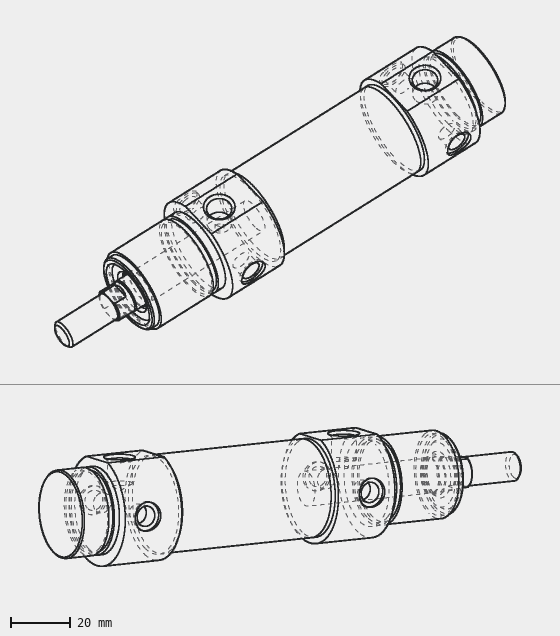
import cadquery as cq
import math


total_length = 178
nose_face = 149.9
barrel_start = 38.0
barrel_end = 96.1

head_radius = 18.95
head_length = 22.0
head_flat_height = 17.53
shoulder_length = 1.6
thread_diameter = 30.0
undercut_diameter = 28.0
undercut_length = 2.1
rear_thread_chamfer = 0.5
rear_undercut_gap = 2.0
front_undercut_gap = 3.0

nose_diameter = 28.0
nose_length = 2.7
nose_chamfer = 0.5
recess_mouth_diameter = 23.9
recess_floor_diameter = 22.0
recess_depth = 1.8
rod_clearance_mouth_diameter = 15.8
rod_clearance_step_diameter = 14.2
rod_clearance_diameter = 12.8
rod_clearance_taper_depth = 1.5
rod_clearance_depth = 3.5

port_to_outer_face = 8.9
port_diameter = 8.5
port_mouth_diameter = 10.7
port_depth = 8.9
drill_point_angle = 118
air_passage_diameter = 3.0
trunnion_diameter = 7.0
trunnion_counterbore_diameter = 10.0
trunnion_counterbore_depth = 1.5
trunnion_depth = 7.1

barrel_diameter = 33.6
rod_diameter = 12.0
rod_neck_diameter = 11.5
rod_neck_start = 151.3
rod_neck_taper = 0.5
rod_neck_chamfer = 0.4
rod_thread_diameter = 10.0
rod_thread_start = 158.0
rod_thread_chamfer = 0.9
wrench_flat_start = 152.5
wrench_flat_run_out = 0.5
wrench_flat_width = 9.8

rear_head_end = barrel_start - shoulder_length
rear_head_start = rear_head_end - head_length
front_head_start = barrel_end + shoulder_length
front_head_end = front_head_start + head_length
rear_port_station = rear_head_start + port_to_outer_face
front_port_station = front_head_end - port_to_outer_face


def turned(points):
    """Revolve a closed outline of (radius, station) points about the Y axis."""
    outline = [(radius, -station) for radius, station in points]
    return cq.Workplane("XY").polyline(outline).close().revolve(360, (0, 0), (0, 1))


def disc(diameter, start, end):
    """Cylinder on the Y axis between two stations."""
    radius = diameter / 2
    return turned([(0, start), (radius, start), (radius, end), (0, end)])


def flatted_block(start, end):
    """Large round block of a head, with the port flat on top."""
    block = disc(2 * head_radius, start, end)
    above_flat = cq.Workplane("XY").box(
        2 * head_radius, 2 * total_length, head_radius, centered=(True, True, False)
    )
    return block.cut(above_flat.translate((0, 0, head_flat_height)))


def port(station):
    """Flat-bottomed port in the top flat, with a 45 degree chamfer at its mouth."""
    radius = port_diameter / 2
    mouth_radius = port_mouth_diameter / 2
    outline = [
        (0, 0),
        (mouth_radius, 0),
        (radius, radius - mouth_radius),
        (radius, -port_depth),
        (0, -port_depth),
    ]
    hole = cq.Workplane("XZ").polyline(outline).close().revolve(360, (0, 0), (0, 1))
    return hole.translate((0, -station, head_flat_height))


def drill_point(station):
    """Conical end below a port."""
    radius = port_diameter / 2
    height = radius / math.tan(math.radians(drill_point_angle / 2))
    outline = [(0, 0), (radius, 0), (0, -height)]
    cone = cq.Workplane("XZ").polyline(outline).close().revolve(360, (0, 0), (0, 1))
    return cone.translate((0, -station, head_flat_height - port_depth))


def air_passage(station):
    """Small passage from the front port floor to the rod bore."""
    floor = head_flat_height - port_depth
    passage = cq.Workplane("XY").circle(air_passage_diameter / 2).extrude(floor)
    return passage.translate((0, -station, 0))


def trunnion_hole(station, side):
    """Counterbored hole along X; side is +1 or -1."""
    opening = cq.Workplane("YZ", origin=(side * head_radius, -station, 0))
    counterbore = opening.circle(trunnion_counterbore_diameter / 2)
    counterbore = counterbore.extrude(-side * trunnion_counterbore_depth)
    bore = opening.circle(trunnion_diameter / 2).extrude(-side * trunnion_depth)
    return counterbore.union(bore)


def build_rear_head():
    thread_radius = thread_diameter / 2
    undercut_end = rear_head_start - rear_undercut_gap
    head = flatted_block(rear_head_start, rear_head_end)
    head = head.union(disc(barrel_diameter, rear_head_end, barrel_start))
    threaded_end = turned([
        (0, 0),
        (thread_radius - rear_thread_chamfer, 0),
        (thread_radius, rear_thread_chamfer),
        (thread_radius, rear_head_start),
        (0, rear_head_start),
    ])
    undercut = disc(thread_diameter, undercut_end - undercut_length, undercut_end)
    undercut = undercut.cut(disc(undercut_diameter, undercut_end - undercut_length, undercut_end))
    head = head.union(threaded_end).cut(undercut)
    head = head.cut(port(rear_port_station)).cut(drill_point(rear_port_station))
    for side in (1, -1):
        head = head.cut(trunnion_hole(rear_port_station, side))
    return head


def front_recess():
    """Tapered recess in the nose, with a stepped funnel around the rod in its floor."""
    floor = nose_face - recess_depth
    funnel_end = floor - rod_clearance_taper_depth
    clearance_end = floor - rod_clearance_depth
    return turned([
        (0, nose_face),
        (recess_mouth_diameter / 2, nose_face),
        (recess_floor_diameter / 2, floor),
        (rod_clearance_mouth_diameter / 2, floor),
        (rod_clearance_step_diameter / 2, funnel_end),
        (rod_clearance_diameter / 2, funnel_end),
        (rod_clearance_diameter / 2, clearance_end),
        (0, clearance_end),
    ])


def build_front_head():
    undercut_start = front_head_end + front_undercut_gap
    undercut_end = undercut_start + undercut_length
    thread_end = nose_face - nose_length
    head = flatted_block(front_head_start, front_head_end)
    head = head.union(disc(barrel_diameter, barrel_end, front_head_start))
    head = head.union(disc(thread_diameter, front_head_end, undercut_start))
    head = head.union(disc(undercut_diameter, undercut_start, undercut_end))
    head = head.union(disc(thread_diameter, undercut_end, thread_end))
    nose = disc(nose_diameter, thread_end, nose_face).faces("<Y").edges().chamfer(nose_chamfer)
    head = head.union(nose).cut(front_recess())
    head = head.cut(disc(rod_diameter, barrel_end, total_length))
    head = head.cut(port(front_port_station)).cut(air_passage(front_port_station))
    for side in (1, -1):
        head = head.cut(trunnion_hole(front_port_station, side))
    return head


def build_barrel():
    return disc(barrel_diameter, barrel_start, barrel_end)


def wrench_flat():
    """Material above the upper wrench flat, with a sloped run-out at its inner end."""
    flat_height = wrench_flat_width / 2
    neck_radius = rod_neck_diameter / 2
    outline = [
        (-wrench_flat_start, neck_radius),
        (-wrench_flat_start - wrench_flat_run_out, flat_height),
        (-rod_thread_start, flat_height),
        (-rod_thread_start, neck_radius),
    ]
    return cq.Workplane("YZ").polyline(outline).close().extrude(neck_radius, both=True)


def build_rod():
    rod_radius = rod_diameter / 2
    neck_radius = rod_neck_diameter / 2
    shank = turned([
        (0, barrel_end),
        (rod_radius, barrel_end),
        (rod_radius, rod_neck_start - rod_neck_taper),
        (neck_radius, rod_neck_start),
        (neck_radius, rod_thread_start - rod_neck_chamfer),
        (neck_radius - rod_neck_chamfer, rod_thread_start),
        (0, rod_thread_start),
    ])
    shank = shank.cut(wrench_flat()).cut(wrench_flat().mirror("XY"))
    thread = disc(rod_thread_diameter, rod_thread_start, total_length)
    thread = thread.faces("<Y").edges().chamfer(rod_thread_chamfer)
    return shank.union(thread)


rear_head = build_rear_head()
barrel = build_barrel()
front_head = build_front_head()
rod = build_rod()

result = cq.Compound.makeCompound([rear_head.val(), barrel.val(), front_head.val(), rod.val()])